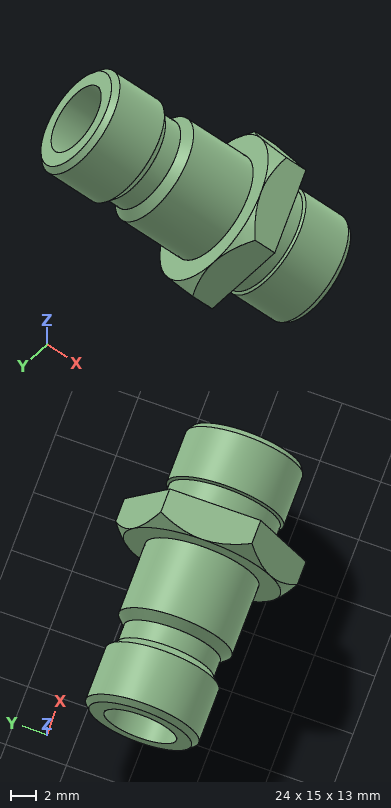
import cadquery as cq
import math

total_length = 24
groove_start = 5.0
neck_start = 5.7
neck_end = 7.22
groove_end = 7.95
hex_start = 14.0
hex_end = 17.0
thread_start = 19.08

plug_diameter = 9.4
neck_diameter = 8.0
relief_diameter = 9.25
thread_diameter = 9.72
bore_diameter = 6
hex_across_flats = 13.0
hex_sides = 6

tip_chamfer = 0.45
thread_lead_length = 0.15
thread_end_chamfer_length = 0.45
thread_end_chamfer_depth = 0.26

plug_radius = plug_diameter / 2
neck_radius = neck_diameter / 2
relief_radius = relief_diameter / 2
thread_radius = thread_diameter / 2
hex_flat_radius = hex_across_flats / 2
hex_corner_radius = hex_flat_radius / math.cos(math.pi / hex_sides)


def revolved(profile):
    """Revolve a closed (axial, radial) outline about the X axis."""
    return cq.Workplane("XY").polyline(profile).close().revolve(360, (0, 0, 0), (1, 0, 0))


def turned_body():
    """Plug with its latching groove, thread relief and thread, all in one revolve."""
    return revolved([
        (0, 0),
        (0, plug_radius - tip_chamfer),
        (tip_chamfer, plug_radius),
        (groove_start, plug_radius),
        (neck_start, neck_radius),
        (neck_end, neck_radius),
        (groove_end, plug_radius),
        (hex_start, plug_radius),
        (hex_start, relief_radius),
        (thread_start, relief_radius),
        (thread_start + thread_lead_length, thread_radius),
        (total_length - thread_end_chamfer_length, thread_radius),
        (total_length, thread_radius - thread_end_chamfer_depth),
        (total_length, 0),
    ])


def hex_collar():
    """Hexagon with corners on the Y axis and a 45 degree chamfer on its plug side."""
    prism = (
        cq.Workplane("YZ", origin=(hex_start, 0, 0))
        .polygon(hex_sides, 2 * hex_corner_radius)
        .extrude(hex_end - hex_start)
    )
    corner_chamfer = hex_corner_radius - hex_flat_radius
    chamfer_envelope = revolved([
        (hex_start, 0),
        (hex_start, hex_flat_radius),
        (hex_start + corner_chamfer, hex_corner_radius),
        (hex_end, hex_corner_radius),
        (hex_end, 0),
    ])
    return prism.intersect(chamfer_envelope)


def through_bore():
    """Plain flow passage along the whole X axis."""
    return cq.Workplane("YZ").circle(bore_diameter / 2).extrude(total_length)


result = turned_body().union(hex_collar()).cut(through_bore())